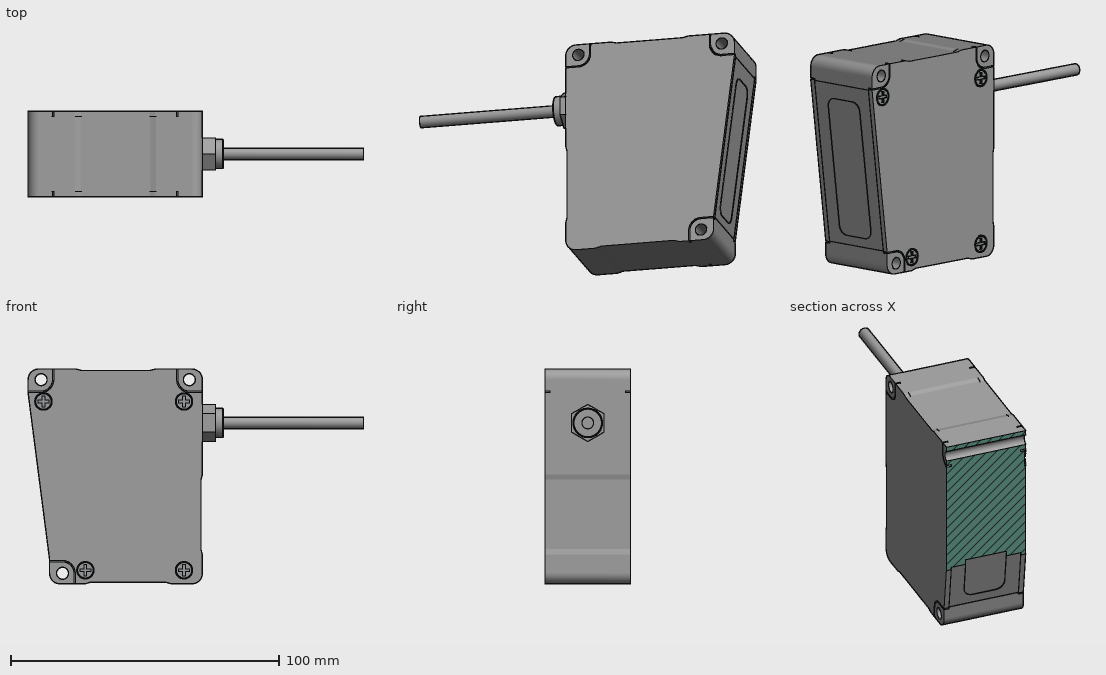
import cadquery as cq
import math

total_length = 125.0
height = 80.1
thickness = 32.0
housing_width = 65.0
foot_setback = 8.0
corner_radius = 4.0

hole_diameter = 4.4
hole_from_side = 4.9
hole_from_end = corner_radius
slit_width = 0.5
slit_depth = 2.0
slit_radius = 4.5
slit_outer_radius = slit_radius + slit_width / 2
slit_inner_radius = slit_radius - slit_width / 2

slope_margin = 0.2
slope_bottom = hole_from_end + slit_outer_radius + slope_margin
slope_top = height - slope_bottom
slope_tilt = math.atan2(foot_setback, slope_top - slope_bottom)
panel_recess = 0.1
panel_width = thickness - 2 * slit_depth
window_width = 16.4
window_height = 53.2
window_radius = 3.5
window_recess = 0.2
window_center_z = 38.9

relief_depth = 0.5
bottom_relief_depth = 0.6
ramp_length = 2.0
top_relief = (17.9, 47.5)
top_relief_spread = 0.2
bottom_relief = (21.2, 53.4)
rear_relief = (10.9, 40.8)

screw_rear_x = housing_width - 6.9
screw_top_z = height - 12.1
screw_bottom_z = 5.1
screw_centers = [
    (5.8, screw_top_z),
    (screw_rear_x, screw_top_z),
    (21.4, screw_bottom_z),
    (screw_rear_x, screw_bottom_z),
]
screw_seat_diameter = 6.5
screw_head_diameter = 5.8
screw_seat_depth = 0.5
cross_length = 4.1
cross_width = 1.0
cross_depth = 0.5

gland_z = 60.0
hex_across_flats = 12.0
hex_length = 4.9
collar_diameter = 11.0
collar_length = 3.0
collar_chamfer = 0.4
cable_diameter = 4.4

side_y = thickness / 2
overlap = 1.2


def extrude_y(outline, half_depth):
    """Prism with the given (X, Z) outline, centred on Y = 0."""
    return cq.Workplane("XZ").polyline(outline).close().extrude(half_depth, both=True)


def make_housing():
    outline = [
        (foot_setback, 0),
        (housing_width, 0),
        (housing_width, height),
        (0, height),
        (0, slope_top),
        (foot_setback, slope_bottom),
    ]
    block = extrude_y(outline, side_y)
    for end_face in (">Z", "<Z"):
        block = block.faces(end_face).edges("|Y").fillet(corner_radius)
    return block


def relief_outline(start, end, depth=relief_depth):
    """Trapezoid as (position along the face, depth below the face)."""
    return [
        (start, 0),
        (start + ramp_length, depth),
        (end - ramp_length, depth),
        (end, 0),
    ]


def make_reliefs():
    top_start, top_end = top_relief
    middle_start = top_start - top_relief_spread
    middle_end = top_end + top_relief_spread
    top = [(x, height - depth) for x, depth in relief_outline(top_start, top_end)]
    top_middle = [(x, height - depth) for x, depth in relief_outline(middle_start, middle_end)]
    bottom = [(x, depth) for x, depth in relief_outline(*bottom_relief, bottom_relief_depth)]
    rear = [(housing_width - depth, z) for z, depth in relief_outline(*rear_relief)]
    return (
        extrude_y(top, side_y)
        .union(extrude_y(top_middle, panel_width / 2))
        .union(extrude_y(bottom, side_y))
        .union(extrude_y(rear, side_y))
    )


def front_plane(z):
    """Plane on the inclined front at height z: local x along -Y, local y up the slope."""
    x = (slope_top - z) * math.tan(slope_tilt)
    return cq.Plane(
        origin=(x, 0, z),
        xDir=(0, -1, 0),
        normal=(-math.cos(slope_tilt), 0, -math.sin(slope_tilt)),
    )


def make_front_recesses():
    slope_length = math.hypot(foot_setback, slope_top - slope_bottom)
    depth_direction = front_plane(window_center_z).zDir
    panel_center_z = (slope_top + slope_bottom) / 2
    panel = (
        cq.Workplane(front_plane(panel_center_z))
        .rect(panel_width, slope_length)
        .extrude(-panel_recess)
    )
    window = (
        cq.Workplane(front_plane(window_center_z))
        .rect(window_width, window_height)
        .extrude(-panel_recess - window_recess)
        .edges(cq.selectors.ParallelDirSelector(depth_direction))
        .fillet(window_radius)
    )
    return panel.union(window)


def lug_region(center, toward_side, toward_end, radius):
    """Disc around the hole, extended past the housing side and end, through the thickness."""
    x, z = center
    reach = 2 * hole_from_side
    disc = cq.Workplane("XZ").center(x, z).circle(radius).extrude(side_y, both=True)
    side_x = x + toward_side * reach
    end_z = z + toward_end * reach
    to_side = extrude_y(
        [(x, z - radius), (x, z + radius), (side_x, z + radius), (side_x, z - radius)], side_y
    )
    to_end = extrude_y(
        [(x - radius, z), (x + radius, z), (x + radius, end_z), (x - radius, end_z)], side_y
    )
    corner = extrude_y([(x, z), (side_x, z), (side_x, end_z), (x, end_z)], side_y)
    return disc.union(to_side).union(to_end).union(corner)


def make_lug_cuts():
    core = cq.Workplane("XY").box(4 * housing_width, panel_width, 4 * height)
    top_z = height - hole_from_end
    lugs = [
        ((hole_from_side, top_z), -1, 1),
        ((housing_width - hole_from_side, top_z), 1, 1),
        ((foot_setback + hole_from_side, hole_from_end), -1, -1),
    ]
    cuts = cq.Workplane("XZ")
    for center, toward_side, toward_end in lugs:
        outer = lug_region(center, toward_side, toward_end, slit_outer_radius)
        inner = lug_region(center, toward_side, toward_end, slit_inner_radius)
        hole = (
            cq.Workplane("XZ")
            .center(*center)
            .circle(hole_diameter / 2)
            .extrude(thickness, both=True)
        )
        cuts = cuts.add(outer.cut(inner).cut(core)).add(hole)
    return cuts.combine()


def make_screw_cuts():
    """Ring gaps around the screw heads and the cross recesses in the heads."""
    face = cq.Workplane("XZ", origin=(0, -side_y, 0)).pushPoints(screw_centers)
    seat = face.circle(screw_seat_diameter / 2).extrude(-screw_seat_depth)
    head = face.circle(screw_head_diameter / 2).extrude(-screw_seat_depth)
    upright = face.rect(cross_width, cross_length).extrude(-cross_depth)
    level = face.rect(cross_length, cross_width).extrude(-cross_depth)
    return seat.cut(head).union(upright).union(level)


def make_cable_exit():
    gland_end = housing_width + hex_length
    collar_end = gland_end + collar_length
    hex_across_corners = hex_across_flats / math.cos(math.pi / 6)

    def section(x):
        return cq.Workplane("YZ", origin=(x, 0, gland_z))

    hexagon = (
        section(housing_width - overlap)
        .transformed(rotate=(0, 0, 90))
        .polygon(6, hex_across_corners)
        .extrude(hex_length + overlap)
    )
    collar = (
        section(gland_end)
        .circle(collar_diameter / 2)
        .extrude(collar_length)
        .faces(">X")
        .edges()
        .chamfer(collar_chamfer)
    )
    cable = section(collar_end).circle(cable_diameter / 2).extrude(total_length - collar_end)
    return hexagon.union(collar).union(cable)


result = (
    make_housing()
    .cut(make_reliefs())
    .cut(make_front_recesses())
    .cut(make_lug_cuts())
    .cut(make_screw_cuts())
    .union(make_cable_exit())
)